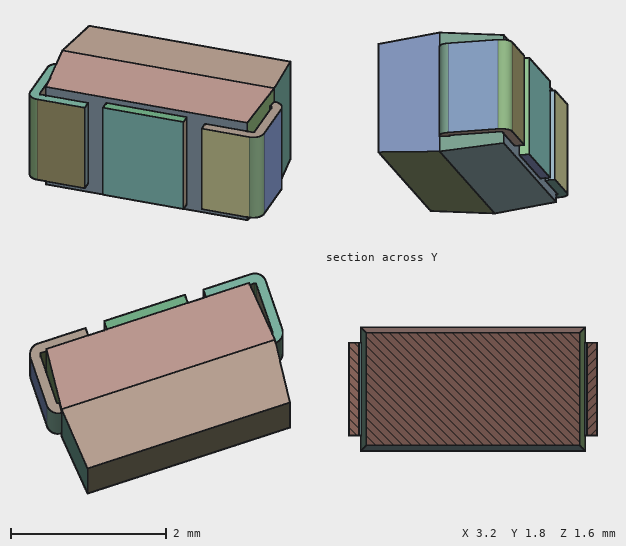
import cadquery as cq
import math

case_length = 2.9
case_width = 1.6
draft_angle = 5.0

overall_length = 3.2
overall_depth = 1.8
metal_thickness = 0.13
lead_width = 1.2
foot_length = 0.8
bend_radius = 0.15
pad_length = 1.1
pad_width = 1.3

half_depth = (overall_depth - metal_thickness) / 2
mount_inner_y = -half_depth
mount_y = mount_inner_y - metal_thickness
lead_end_x = overall_length / 2
inner_bend_radius = bend_radius - metal_thickness


def make_case_half(direction):
    """Half of the case, narrowing from the parting plane; direction is +1 or -1 along Y."""
    inset = half_depth * math.tan(math.radians(draft_angle))
    plane = cq.Plane(origin=(0, 0, 0), xDir=(1, 0, 0), normal=(0, direction, 0))
    return (
        cq.Workplane(plane)
        .rect(case_length, case_width)
        .workplane(offset=half_depth)
        .rect(case_length - 2 * inset, case_width - 2 * inset)
        .loft(ruled=True, combine=True)
    )


def make_left_lead(case_half):
    """C-shaped lead at the -X end; its upper arm stops against the tapered case wall."""
    outer_x = -lead_end_x
    inner_x = outer_x + metal_thickness
    bend_x = outer_x + bend_radius
    foot_tip_x = outer_x + foot_length
    arm_tip_x = -case_length / 2
    arm_inner_y = -metal_thickness
    lead = (
        cq.Workplane("XY")
        .workplane(offset=-lead_width / 2)
        .moveTo(foot_tip_x, mount_y)
        .lineTo(bend_x, mount_y)
        .radiusArc((outer_x, mount_y + bend_radius), bend_radius)
        .lineTo(outer_x, -bend_radius)
        .radiusArc((bend_x, 0), bend_radius)
        .lineTo(arm_tip_x + metal_thickness, 0)
        .lineTo(arm_tip_x + metal_thickness, arm_inner_y)
        .lineTo(bend_x, arm_inner_y)
        .radiusArc((inner_x, -bend_radius), -inner_bend_radius)
        .lineTo(inner_x, mount_y + bend_radius)
        .radiusArc((bend_x, mount_inner_y), -inner_bend_radius)
        .lineTo(foot_tip_x, mount_inner_y)
        .close()
        .extrude(lead_width)
    )
    return lead.cut(case_half)


def make_pad():
    """Flat pad centred between the feet."""
    pad_centre_y = mount_y + metal_thickness / 2
    return (
        cq.Workplane("XY")
        .box(pad_length, metal_thickness, pad_width)
        .translate((0, pad_centre_y, 0))
    )


upper_case = make_case_half(1)
lower_case = make_case_half(-1)
pad = make_pad()

leads = []
for turn in (0, 180):
    lead = make_left_lead(lower_case).rotate((0, 0, 0), (0, 1, 0), turn)
    leads.append(lead.val())

result = cq.Compound.makeCompound([upper_case.val(), lower_case.val(), pad.val(), *leads])